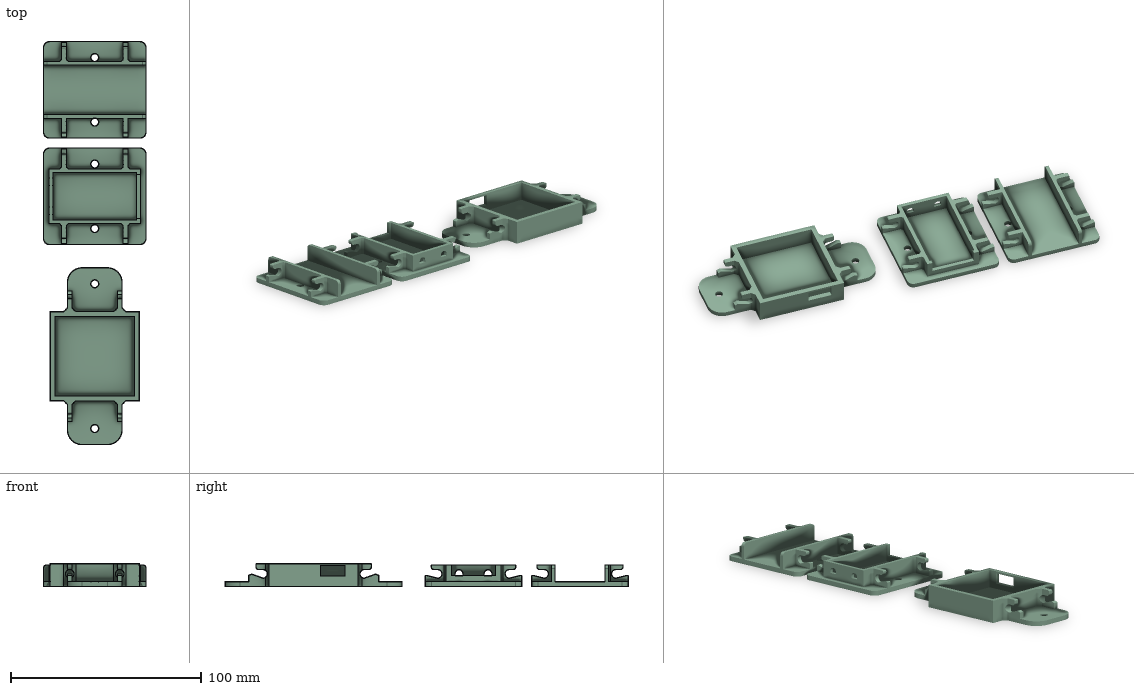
import cadquery as cq

ROW_LENGTH = 212.0
CHANNEL_TO_TRAY_GAP = 5.0

FLOOR = 2.5
HOLE_DIAMETER = 4.0
CUT_MARGIN = 2.1

PLATE_WIDTH = 54.0
PLATE_LENGTH = 50.9
PLATE_CORNER_RADIUS = 3.4
PLATE_HEIGHT = 11.5
PLATE_WALL = 2.0
PLATE_HOLE_SPACING = 34.0
PLATE_CLIP_SPACING = 32.5
PLATE_SLOT_TO_EDGE = 6.5
PLATE_GUSSET = 1.0
PLATE_RIDGE_HEIGHT = 6.0

CHANNEL_WIDTH = 26.0
CHANNEL_WALL_ROUND = 2.0

TRAY_WIDTH = 48.0
TRAY_LENGTH = 28.8
TRAY_ARM_REACH = 3.4
CABLE_HOLE_SPACING = 15.3
CABLE_HOLE_HEIGHT = 6.8
CABLE_HOLE_SILL = 5.7
TRAY_OPENING = 23.1
TRAY_LOW_WALL_HEIGHT = 5.7

BOX_SIDE = 46.9
BOX_WALL = 2.5
BOX_HEIGHT = 12.0
TONGUE_WIDTH = 28.8
TONGUE_SPAN = 93.0
TONGUE_CORNER_RADIUS = 7.8
TONGUE_HOLE_SPACING = 76.1
BOX_GUSSET = 2.0
BOX_SLOT_TO_WALL = 3.2
BOX_LIP_REACH = 7.6
BOX_RIDGE_HEIGHT = 6.5
WINDOW_WIDTH = 12.7
WINDOW_SILL_HEIGHT = 5.5
WINDOW_TOP_HEIGHT = 11.0
WINDOW_TO_BACK_WALL = 4.5

CLIP_THICKNESS = 2.5
SLOT_RADIUS = 2.23
SLOT_HEIGHT = 6.68
RIDGE_REACH = 6.0
LIP_OUTER_SLOPE = 0.4
ARM_REACH = 3.8
ARM_TOP_ROUND = 0.6
ARM_BOTTOM_ROUND = 1.5


def block(x_size, y_size, z_low, z_high):
    """A box centred on the Z axis between two heights."""
    return (
        cq.Workplane("XY")
        .workplane(offset=z_low)
        .rect(x_size, y_size)
        .extrude(z_high - z_low)
    )


def screw_holes(spacing):
    """Two through-hole cutters spaced along Y."""
    return (
        cq.Workplane("XY")
        .workplane(offset=-CUT_MARGIN)
        .pushPoints([(0, spacing / 2), (0, -spacing / 2)])
        .circle(HOLE_DIAMETER / 2)
        .extrude(FLOOR + 2 * CUT_MARGIN)
    )


def round_corner(body, y, z, radius):
    """Fillet the edge along X that passes nearest to the point (y, z)."""
    corner = cq.selectors.NearestToPointSelector((0, y, z))
    return body.edges("|X").edges(corner).fillet(radius)


def clip(wall, slot, height, lip_reach, ridge_height, gusset, arm_reach=ARM_REACH):
    """A clip pointing to +Y: wall and slot are the Y places of the wall face and slot centre.

    The reaches run from the slot centre to the arm tip and to the outer end of the lip.
    """
    arm_tip = slot + arm_reach
    lip_end = slot + lip_reach
    ridge = slot + RIDGE_REACH
    lip_end_height = ridge_height - LIP_OUTER_SLOPE * (lip_end - ridge)
    slot_top = SLOT_HEIGHT + SLOT_RADIUS
    width = CLIP_THICKNESS + 2 * gusset

    side = (
        cq.Workplane("YZ")
        .workplane(offset=-width / 2)
        .moveTo(wall, 0)
        .lineTo(lip_end, 0)
        .lineTo(lip_end, lip_end_height)
        .lineTo(ridge, ridge_height)
        .lineTo(slot, SLOT_HEIGHT - SLOT_RADIUS)
        .threePointArc((slot - SLOT_RADIUS, SLOT_HEIGHT), (slot, slot_top))
        .lineTo(arm_tip, slot_top)
        .lineTo(arm_tip, height)
        .lineTo(wall, height)
        .close()
        .extrude(width)
    )
    side = round_corner(side, arm_tip, slot_top, ARM_BOTTOM_ROUND)
    side = round_corner(side, arm_tip, height, ARM_TOP_ROUND)

    half_rib = CLIP_THICKNESS / 2
    plan = cq.Workplane("XY").moveTo(half_rib, lip_end).lineTo(-half_rib, lip_end)
    if gusset > 0:
        plan = plan.lineTo(-half_rib, wall + gusset)
    plan = plan.lineTo(-width / 2, wall).lineTo(width / 2, wall)
    if gusset > 0:
        plan = plan.lineTo(half_rib, wall + gusset)
    return plan.close().extrude(height).intersect(side)


def add_clips(body, back_clip, front_clip, spacing):
    """Join a pair of clips at +Y and a pair of mirrored clips at -Y."""
    for facing_clip in (back_clip, front_clip.mirror("XZ")):
        for x in (-spacing / 2, spacing / 2):
            body = body.union(facing_clip.translate((x, 0, 0)))
    return body


def base_plate():
    """Flat plate with rounded corners."""
    plate = block(PLATE_WIDTH, PLATE_LENGTH, 0, FLOOR)
    return plate.edges("|Z").fillet(PLATE_CORNER_RADIUS)


def plate_clip(wall, gusset=PLATE_GUSSET, arm_reach=ARM_REACH):
    """Clip whose lip ends flush with the edge of the base plate."""
    slot = PLATE_LENGTH / 2 - PLATE_SLOT_TO_EDGE
    return clip(wall, slot, PLATE_HEIGHT, PLATE_SLOT_TO_EDGE, PLATE_RIDGE_HEIGHT, gusset, arm_reach)


def make_channel_plate():
    """Plate with two full-width walls that form a channel open at both ends."""
    outer_width = CHANNEL_WIDTH + 2 * PLATE_WALL
    walls = block(PLATE_WIDTH, outer_width, 0, PLATE_HEIGHT)
    walls = walls.edges("|Y and >Z").fillet(CHANNEL_WALL_ROUND)
    walls = walls.cut(block(PLATE_WIDTH, CHANNEL_WIDTH, FLOOR, PLATE_HEIGHT))

    body = base_plate().union(walls)
    back_clip = plate_clip(outer_width / 2)
    front_clip = plate_clip(outer_width / 2, gusset=0)
    body = add_clips(body, back_clip, front_clip, PLATE_CLIP_SPACING)
    return body.cut(screw_holes(PLATE_HOLE_SPACING))


def cable_hole():
    """Cutter along X for an arched hole with a flat sill."""
    radius = HOLE_DIAMETER / 2
    return (
        cq.Workplane("YZ")
        .moveTo(-radius, CABLE_HOLE_SILL)
        .lineTo(radius, CABLE_HOLE_SILL)
        .lineTo(radius, CABLE_HOLE_HEIGHT)
        .threePointArc((0, CABLE_HOLE_HEIGHT + radius), (-radius, CABLE_HOLE_HEIGHT))
        .close()
        .extrude(PLATE_WALL + CUT_MARGIN, both=True)
    )


def make_tray_plate():
    """Plate with a rectangular tray, cable holes at -X and a low wall at +X."""
    tray = block(TRAY_WIDTH, TRAY_LENGTH, 0, PLATE_HEIGHT)
    inner_width = TRAY_WIDTH - 2 * PLATE_WALL
    inner_length = TRAY_LENGTH - 2 * PLATE_WALL
    tray = tray.cut(block(inner_width, inner_length, FLOOR, PLATE_HEIGHT))

    opening = block(2 * PLATE_WALL, TRAY_OPENING, TRAY_LOW_WALL_HEIGHT, PLATE_HEIGHT)
    tray = tray.cut(opening.translate((TRAY_WIDTH / 2, 0, 0)))

    for y in (-CABLE_HOLE_SPACING / 2, CABLE_HOLE_SPACING / 2):
        tray = tray.cut(cable_hole().translate((-TRAY_WIDTH / 2, y, 0)))

    body = base_plate().union(tray)
    tray_clip = plate_clip(TRAY_LENGTH / 2, arm_reach=TRAY_ARM_REACH)
    body = add_clips(body, tray_clip, tray_clip, PLATE_CLIP_SPACING)
    return body.cut(screw_holes(PLATE_HOLE_SPACING))


def make_tongue_box():
    """Square open box with a rounded screw tongue at each Y end and a window in the +X wall."""
    tongues = block(TONGUE_WIDTH, TONGUE_SPAN, 0, FLOOR)
    tongues = tongues.edges("|Z").fillet(TONGUE_CORNER_RADIUS)
    body = tongues.union(block(BOX_SIDE, BOX_SIDE, 0, BOX_HEIGHT))

    box_clip = clip(
        wall=BOX_SIDE / 2,
        slot=BOX_SIDE / 2 + BOX_SLOT_TO_WALL,
        height=BOX_HEIGHT,
        lip_reach=BOX_LIP_REACH,
        ridge_height=BOX_RIDGE_HEIGHT,
        gusset=BOX_GUSSET,
    )
    body = add_clips(body, box_clip, box_clip, TONGUE_WIDTH - CLIP_THICKNESS)

    inner_side = BOX_SIDE - 2 * BOX_WALL
    body = body.cut(block(inner_side, inner_side, FLOOR, BOX_HEIGHT))

    window_center = inner_side / 2 - WINDOW_TO_BACK_WALL - WINDOW_WIDTH / 2
    window = block(3 * BOX_WALL, WINDOW_WIDTH, WINDOW_SILL_HEIGHT, WINDOW_TOP_HEIGHT)
    body = body.cut(window.translate((BOX_SIDE / 2, window_center, 0)))
    return body.cut(screw_holes(TONGUE_HOLE_SPACING))


channel_y = (ROW_LENGTH - PLATE_LENGTH) / 2
tray_y = channel_y - PLATE_LENGTH - CHANNEL_TO_TRAY_GAP
box_y = (TONGUE_SPAN - ROW_LENGTH) / 2

channel_plate = make_channel_plate().translate((0, channel_y, 0))
tray_plate = make_tray_plate().translate((0, tray_y, 0))
tongue_box = make_tongue_box().translate((0, box_y, 0))

result = cq.Compound.makeCompound([channel_plate.val(), tray_plate.val(), tongue_box.val()])